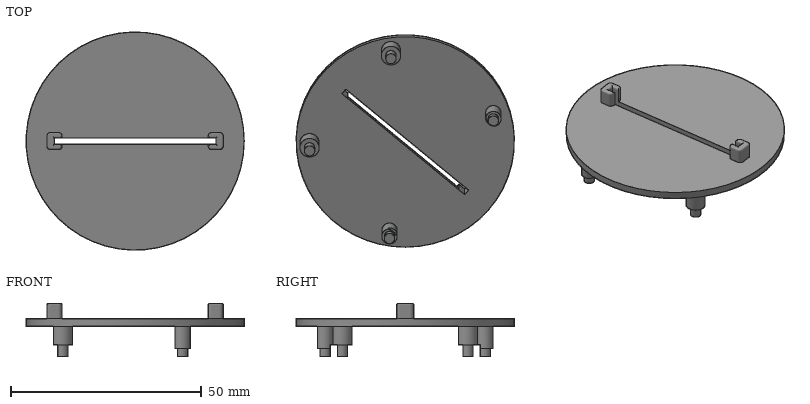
import cadquery as cq

plate_diameter = 57.4
plate_thickness = 2.0

slot_length = 42.4
slot_width = 1.55

clip_length = 4.0
clip_side_wall = 1.5
clip_width = slot_width + 2 * clip_side_wall
clip_height = 4.0
clip_end_wall = 2.0
clip_corner_radius = 1.0
clip_top_fillet = 0.4
clip_center_x = slot_length / 2 + clip_end_wall - clip_length / 2

peg_length = 8.0
pin_diameter = 2.75

shoulder_length = 4.9

wide_peg_diameter = 5.06
wide_peg_x = -19.0
wide_peg_y = 16.5

narrow_peg_diameter = 4.06
narrow_peg_x = 12.5
narrow_peg_y = 21.05
lip_length = 1.0


def make_slot_cutter():
    """Bar that fills the slot from the plate underside to the clip tops."""
    height = plate_thickness + clip_height
    return cq.Workplane("XY").box(slot_length, slot_width, height, centered=(True, True, False))


def make_clip(center_x):
    """Rounded block on the plate, opened by the slot, with its top edges rounded over."""
    block = (
        cq.Workplane("XY", origin=(center_x, 0, plate_thickness))
        .box(clip_length, clip_width, clip_height, centered=(True, True, False))
        .edges("|Z")
        .fillet(clip_corner_radius)
    )
    return block.cut(make_slot_cutter()).faces(">Z").edges().fillet(clip_top_fillet)


def make_peg(x, y, shoulder_diameter):
    """Stepped peg that hangs from the plate underside."""
    shoulder = cq.Workplane("XY", origin=(x, y, 0)).circle(shoulder_diameter / 2).extrude(-shoulder_length)
    pin = cq.Workplane("XY", origin=(x, y, 0)).circle(pin_diameter / 2).extrude(-peg_length)
    return shoulder.union(pin)


def make_lip(side):
    """Extension of a narrow peg's shoulder, cut flat along X where it touches the pin's inner side."""
    disc = (
        cq.Workplane("XY", origin=(narrow_peg_x, side * narrow_peg_y, -shoulder_length))
        .circle(narrow_peg_diameter / 2)
        .extrude(-lip_length)
    )
    flat_y = narrow_peg_y - pin_diameter / 2
    kept_side = cq.Workplane("XY", origin=(narrow_peg_x, side * (flat_y + narrow_peg_diameter / 2), 0)).box(
        narrow_peg_diameter, narrow_peg_diameter, 2 * peg_length
    )
    return disc.intersect(kept_side)


plate = cq.Workplane("XY").circle(plate_diameter / 2).extrude(plate_thickness)
result = plate.cut(make_slot_cutter())

for side in (-1, 1):
    result = result.union(make_clip(side * clip_center_x))
    result = result.union(make_peg(wide_peg_x, side * wide_peg_y, wide_peg_diameter))
    result = result.union(make_peg(narrow_peg_x, side * narrow_peg_y, narrow_peg_diameter))
    result = result.union(make_lip(side))